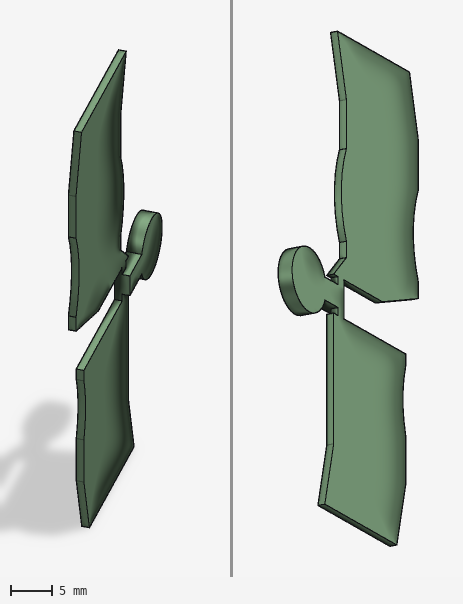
import cadquery as cq

plate_thickness = 1.0
disc_thickness = 2 * plate_thickness
overall_width = 30.7
overall_height = 61.7

disc_radius = 4.15
stem_width = 2.95
spine_front = -7.05
spine_width = 1.5
spine_back = spine_front - spine_width

panel_gap = 5.0
panel_width = 17.5
end_slant = 2.15

upper_end = 34.0
upper_start = panel_gap / 2
upper_back = disc_radius - overall_width
upper_front = upper_back + panel_width
upper_slant_start = 25.85
upper_wave_top = 19.55
upper_wave_bottom = 7.65
upper_wave_depth = 1.25
upper_corner_height = 5.55
upper_toe_front = -6.0
upper_toe_back = -17.85

lower_end = upper_end - overall_height
lower_start = -panel_gap / 2
lower_front = -6.0
lower_back = lower_front - panel_width
lower_slant_start = -19.3
lower_wave_top = -4.1
lower_wave_bottom = -12.95
lower_wave_depth = 0.7


def box(thickness, y_min, y_max, z_min, z_max):
    """Block standing on the X = 0 face."""
    size = (thickness, y_max - y_min, z_max - z_min)
    return cq.Workplane("XY").box(*size, centered=False).translate((0, y_min, z_min))


def upper_panel():
    """Waved panel with both long edges bowed toward +Y and a tapered lower end."""
    wave_middle = (upper_wave_top + upper_wave_bottom) / 2
    return (
        cq.Workplane("YZ")
        .moveTo(upper_front + end_slant, upper_end)
        .lineTo(upper_front, upper_slant_start)
        .lineTo(upper_front, upper_wave_top)
        .threePointArc((upper_front + upper_wave_depth, wave_middle), (upper_front, upper_wave_bottom))
        .lineTo(upper_front, upper_corner_height)
        .lineTo(upper_toe_front, upper_start)
        .lineTo(upper_toe_back, upper_start)
        .lineTo(upper_back, upper_corner_height)
        .lineTo(upper_back, upper_wave_bottom)
        .threePointArc((upper_back + upper_wave_depth, wave_middle), (upper_back, upper_wave_top))
        .lineTo(upper_back, upper_slant_start)
        .lineTo(upper_back + end_slant, upper_end)
        .close()
        .extrude(plate_thickness)
    )


def lower_panel():
    """Panel with a straight front edge and one shallow hollow in its back edge."""
    wave_middle = (lower_wave_top + lower_wave_bottom) / 2
    return (
        cq.Workplane("YZ")
        .moveTo(lower_front, lower_start)
        .lineTo(lower_front, lower_slant_start)
        .lineTo(lower_front + end_slant, lower_end)
        .lineTo(lower_back + end_slant, lower_end)
        .lineTo(lower_back, lower_slant_start)
        .lineTo(lower_back, lower_wave_bottom)
        .threePointArc((lower_back + lower_wave_depth, wave_middle), (lower_back, lower_wave_top))
        .lineTo(lower_back, lower_start)
        .close()
        .extrude(plate_thickness)
    )


disc = cq.Workplane("YZ").circle(disc_radius).extrude(disc_thickness)
stem = box(disc_thickness, spine_back, 0, -stem_width / 2, stem_width / 2)
spine = box(plate_thickness, spine_back, spine_front, lower_start, upper_start)

result = upper_panel().union(spine).union(lower_panel()).union(stem).union(disc)